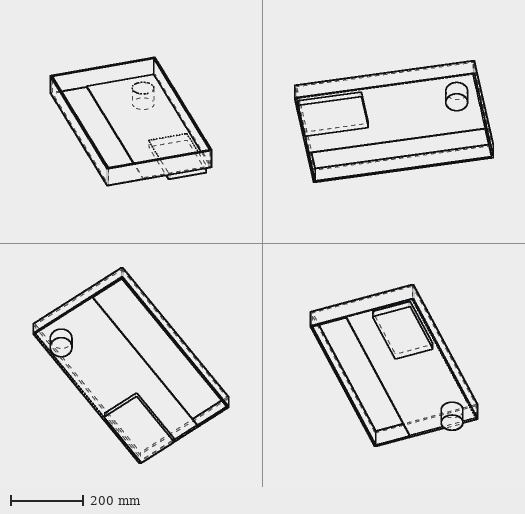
import cadquery as cq

length = 505.0
width = 305.0
frame_height = 55.0
wall = 5.0
frame_corner_radius = 3.0

floor_thickness = 3.0
opening_width = 100.0

total_height = 105.0
post_diameter = 60.0
post_height = total_height - frame_height
post_left_offset = 59.0
post_rear_offset = 54.0
post_x = -length / 2 + post_left_offset
post_y = width / 2 - post_rear_offset

box_length = 178.0
box_width = 111.5
box_height = 20.0
box_corner_radius = 4.0
box_right_gap = 8.0
box_rear_gap = 12.0
box_x = length / 2 - box_right_gap - box_length / 2
box_y = width / 2 - box_rear_gap - box_width / 2

inner_length = length - 2 * wall
inner_width = width - 2 * wall


def rounded_block(size_x, size_y, height, corner_radius):
    """Block standing on Z = 0 with rounded vertical edges."""
    block = cq.Workplane("XY").rect(size_x, size_y).extrude(height)
    return block.edges("|Z").fillet(corner_radius)


def make_frame():
    """Rounded outer wall around a sharp-cornered through opening."""
    inside = cq.Workplane("XY").rect(inner_length, inner_width).extrude(frame_height)
    return rounded_block(length, width, frame_height, frame_corner_radius).cut(inside)


def make_floor():
    """Plate flush with the frame underside, reaching the rear and side walls."""
    floor_width = inner_width - opening_width
    return (
        cq.Workplane("XY")
        .center(0, opening_width / 2)
        .rect(inner_length, floor_width)
        .extrude(floor_thickness)
    )


def make_post():
    """Cylinder hanging from the floor."""
    return cq.Workplane("XY").center(post_x, post_y).circle(post_diameter / 2).extrude(-post_height)


def make_box():
    """Rounded box hanging from the floor."""
    box = rounded_block(box_length, box_width, box_height, box_corner_radius)
    return box.translate((box_x, box_y, -box_height))


result = make_frame().union(make_floor()).union(make_post()).union(make_box())